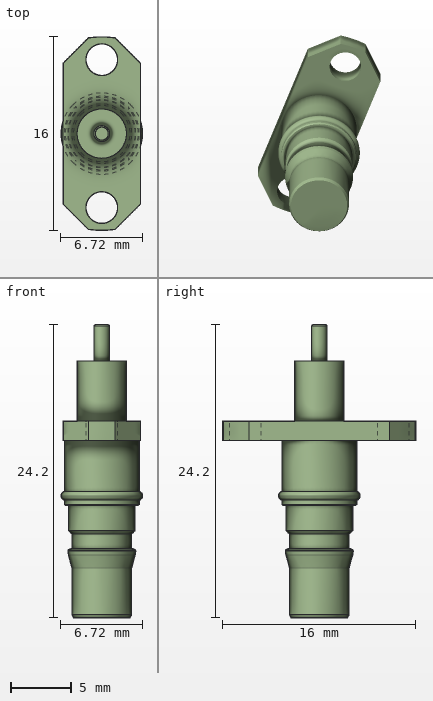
import cadquery as cq
import math

total_height = 24.2
sleeve_top = 21.2
plate_top = 16.21
plate_thickness = 1.6
plate_bottom = plate_top - plate_thickness
ring_middle = 10.07
lip_bottom = 9.27
step_bottom = 7.2
collar_top = 5.74
collar_bottom = 4.11

pin_radius = 0.65
sleeve_radius = 2.03
body_radius = 3.1
step_radius = 2.75
plug_radius = 2.47
collar_radius = 2.8
ring_outer_radius = 3.36
ring_section_radius = 0.39

pin_chamfer = 0.12
lip_chamfer = 0.1
tip_chamfer_width = 0.15
tip_chamfer_height = 0.27

rim_setback = 0.02
rim_height = 0.12
collar_shoulder_drop = 0.25
collar_band_height = 0.3

plate_width = 6.4
plate_length = 15.97
corner_start = 5.8
hole_diameter = 2.6
hole_spacing = 12.2


def make_plate():
    """Plate with 45-degree corners, ends on a circle about the axis, and two holes."""
    half_width = plate_width / 2
    end_radius = plate_length / 2
    corner_sum = half_width + corner_start
    end_x = (corner_sum - math.sqrt(2 * end_radius**2 - corner_sum**2)) / 2
    end_y = corner_sum - end_x
    return (
        cq.Workplane("XY", origin=(0, 0, plate_bottom))
        .moveTo(half_width, -corner_start)
        .lineTo(half_width, corner_start)
        .lineTo(end_x, end_y)
        .threePointArc((0, end_radius), (-end_x, end_y))
        .lineTo(-half_width, corner_start)
        .lineTo(-half_width, -corner_start)
        .lineTo(-end_x, -end_y)
        .threePointArc((0, -end_radius), (end_x, -end_y))
        .close()
        .extrude(plate_thickness)
        .faces(">Z")
        .workplane(origin=(0, 0, plate_top))
        .pushPoints([(0, -hole_spacing / 2), (0, hole_spacing / 2)])
        .hole(hole_diameter)
    )


def make_turned_core():
    """Pin, sleeve, body and stepped plug revolved as one profile."""
    step_taper = step_radius - plug_radius
    collar_shoulder = collar_top - collar_shoulder_drop
    collar_waist = collar_shoulder - collar_band_height
    return (
        cq.Workplane("XZ")
        .moveTo(0, 0)
        .lineTo(plug_radius - tip_chamfer_width, 0)
        .lineTo(plug_radius, tip_chamfer_height)
        .lineTo(plug_radius, collar_bottom)
        .lineTo(step_radius, collar_waist)
        .lineTo(collar_radius, collar_shoulder)
        .lineTo(collar_radius - rim_setback, collar_shoulder + rim_height)
        .lineTo(plug_radius, collar_top)
        .lineTo(plug_radius, step_bottom - step_taper)
        .lineTo(step_radius, step_bottom)
        .lineTo(step_radius, lip_bottom)
        .lineTo(body_radius - lip_chamfer, lip_bottom)
        .lineTo(body_radius, lip_bottom + lip_chamfer)
        .lineTo(body_radius, plate_bottom)
        .lineTo(sleeve_radius, plate_bottom)
        .lineTo(sleeve_radius, sleeve_top)
        .lineTo(pin_radius, sleeve_top)
        .lineTo(pin_radius, total_height - pin_chamfer)
        .lineTo(pin_radius - pin_chamfer, total_height)
        .lineTo(0, total_height)
        .close()
        .revolve(360, (0, 0), (0, 1))
    )


def make_seal_ring():
    """Round-section ring seated around the body."""
    section_offset = ring_outer_radius - ring_section_radius
    return (
        cq.Workplane("XZ")
        .moveTo(section_offset, ring_middle)
        .circle(ring_section_radius)
        .revolve(360, (0, 0), (0, 1))
    )


result = make_turned_core().union(make_plate()).union(make_seal_ring())